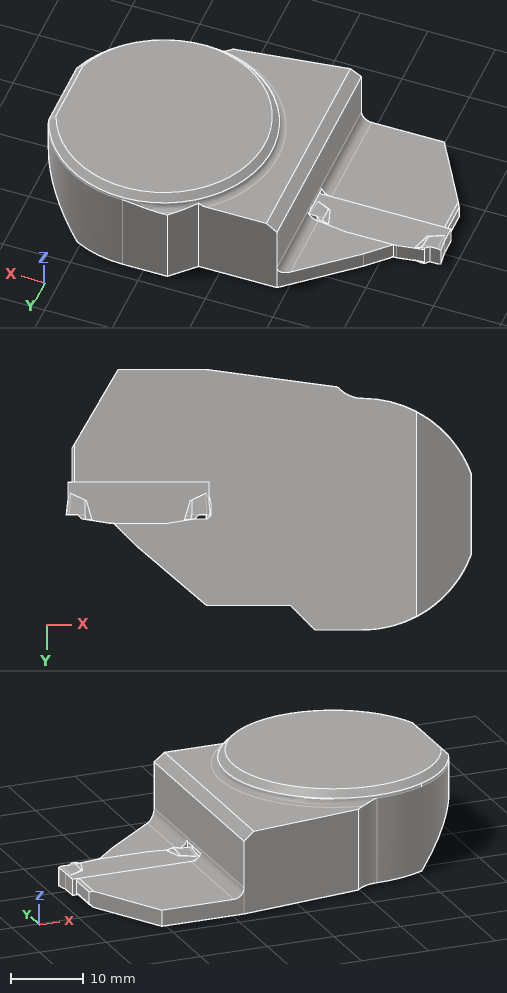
import cadquery as cq
import math


DISC_RADIUS = 16.0
BODY_RADIUS = 16.05
HEAD_TOP = 14.0
HEAD_FLAT_X = 15.05
HEAD_CHAMFER = 1.0
NECK_Z = 12.9

BLOCK_TOP = 12.0
WALL_X = -21.6
BLOCK_BACK_Y = 12.7
BLOCK_FRONT_Y = -20.0
EDGE_CHAMFER_X = 1.55
EDGE_CHAMFER_Z = 1.2
HEEL_CHAMFER = 7.6
SHOULDER_X = -6.6
BLOCK_CORNER = (-3.5, -17.6)

BLADE_THICKNESS = 2.4
BLADE_TIP_X = -40.3
BLADE_TIP_Y = -9.1
BLADE_FRONT_X = -33.9
BLADE_KINK = (-31.25, 4.5)
ROOT_FILLET = 1.5
BLADE_BEVEL_X = 0.4
BLADE_BEVEL_Z = 0.3

INSERT_TIP_X = HEAD_FLAT_X - 56.1
INSERT_MID_X = -31.1
INSERT_BASE_Y = -4.45
INSERT_TOP_Y = 1.3
FLANK_X = -40.85
FLANK_Y = -1.9
TIP_Y = 0.1
TIP_STEP_X = -39.45
STEP_Y = 0.7
STEP_X = TIP_STEP_X + STEP_Y - TIP_Y
CROWN_X = -34.95
PAD_RISE = 0.3
PAD_FOOT = (FLANK_X, -3.1)
PAD_HEEL = (-38.25, -1.85)
PAD_BACK = (-37.5, 0.8)
PAD_RIDGE_X = -38.5
LAND_WIDTH = 0.45
LAND_DROP = 0.1

POCKET_TOP = 3.4
POCKET_END_X = -21.0
POCKET_RELIEF = (-1.4, -2.65)


def mirror_x(x):
    """Place of x on the other end of the insert."""
    return 2 * INSERT_MID_X - x


def prism(points, bottom, top):
    return cq.Workplane("XY", origin=(0, 0, bottom)).polyline(points).close().extrude(top - bottom)


def block_prism(height):
    """Block and rounded end, seen along Z, raised to the given height."""
    shoulder_run = BODY_RADIUS - BLOCK_BACK_Y
    flat_y = math.sqrt(BODY_RADIUS**2 - HEAD_FLAT_X**2)
    arc_mid = BODY_RADIUS * math.sqrt(0.5)
    corner_x, corner_y = BLOCK_CORNER
    rise = -BODY_RADIUS - corner_y
    blend_radius = (corner_x**2 + rise**2) / (2 * rise)
    half_angle = math.asin(-corner_x / blend_radius) / 2
    blend_mid = (
        -blend_radius * math.sin(half_angle),
        -BODY_RADIUS - blend_radius * (1 - math.cos(half_angle)),
    )
    return (
        cq.Workplane("XY")
        .moveTo(WALL_X, BLOCK_FRONT_Y)
        .lineTo(corner_x, corner_y)
        .threePointArc(blend_mid, (0, -BODY_RADIUS))
        .threePointArc((arc_mid, -arc_mid), (HEAD_FLAT_X, -flat_y))
        .lineTo(HEAD_FLAT_X, flat_y)
        .threePointArc((arc_mid, arc_mid), (0, BODY_RADIUS))
        .lineTo(SHOULDER_X, BODY_RADIUS)
        .lineTo(SHOULDER_X - shoulder_run, BLOCK_BACK_Y)
        .lineTo(WALL_X, BLOCK_BACK_Y)
        .close()
        .extrude(height)
    )


def disc_head():
    """Chamfered disc with a concave fillet running out onto the block top."""
    fillet = NECK_Z - BLOCK_TOP
    arc_offset = fillet * (1 - math.sqrt(0.5))
    disc = (
        cq.Workplane("XZ")
        .lineTo(DISC_RADIUS + fillet, 0)
        .lineTo(DISC_RADIUS + fillet, BLOCK_TOP)
        .threePointArc((DISC_RADIUS + arc_offset, BLOCK_TOP + arc_offset), (DISC_RADIUS, NECK_Z))
        .lineTo(DISC_RADIUS, HEAD_TOP - HEAD_CHAMFER)
        .lineTo(DISC_RADIUS - HEAD_CHAMFER, HEAD_TOP)
        .lineTo(0, HEAD_TOP)
        .close()
        .revolve(360, (0, 0, 0), (0, 1, 0))
    )
    return disc.intersect(block_prism(HEAD_TOP))


def corner_wedge(x, z, run, rise):
    """Triangular bar along Y that bevels the XZ corner at (x, z)."""
    return (
        cq.Workplane("XZ")
        .polyline([(x, z), (x + run, z), (x, z + rise)])
        .close()
        .extrude(2 * BODY_RADIUS, both=True)
    )


def blade():
    """Thin blade with a filleted root and a bevelled front edge."""
    outline = [
        (WALL_X, BLOCK_FRONT_Y),
        (BLADE_FRONT_X, BLOCK_FRONT_Y),
        (BLADE_TIP_X, BLADE_TIP_Y),
        (BLADE_TIP_X, INSERT_BASE_Y),
        BLADE_KINK,
        (WALL_X, BLOCK_BACK_Y),
    ]
    arc_offset = ROOT_FILLET * (1 - math.sqrt(0.5))
    side_profile = (
        cq.Workplane("XZ", origin=(0, BODY_RADIUS, 0))
        .moveTo(BLADE_TIP_X, 0)
        .lineTo(WALL_X, 0)
        .lineTo(WALL_X, BLADE_THICKNESS + ROOT_FILLET)
        .threePointArc(
            (WALL_X - arc_offset, BLADE_THICKNESS + arc_offset),
            (WALL_X - ROOT_FILLET, BLADE_THICKNESS),
        )
        .lineTo(BLADE_TIP_X, BLADE_THICKNESS)
        .close()
        .extrude(BODY_RADIUS - BLOCK_FRONT_Y)
    )
    plate = side_profile.intersect(prism(outline, 0, BLADE_THICKNESS + ROOT_FILLET))
    plate = plate.cut(corner_wedge(BLADE_TIP_X, 0, BLADE_BEVEL_X, BLADE_BEVEL_Z))
    return plate.cut(corner_wedge(BLADE_TIP_X, BLADE_THICKNESS, BLADE_BEVEL_X, -BLADE_BEVEL_Z))


def insert_pocket():
    """Opening for the insert, with clearance around its inner tip."""
    relief_start, relief_end = POCKET_RELIEF
    seat_x = mirror_x(FLANK_X)
    corner = STEP_Y - TIP_Y
    outline = [
        (INSERT_TIP_X, INSERT_BASE_Y),
        (seat_x, INSERT_BASE_Y),
        (seat_x, relief_end),
        (POCKET_END_X, relief_start),
        (POCKET_END_X, TIP_Y),
        (POCKET_END_X - corner, STEP_Y),
        (mirror_x(STEP_X), STEP_Y),
        (mirror_x(CROWN_X), INSERT_TOP_Y),
        (CROWN_X, INSERT_TOP_Y),
        (STEP_X, STEP_Y),
        (INSERT_TIP_X, STEP_Y),
    ]
    return prism(outline, -PAD_RISE, POCKET_TOP)


def build_holder():
    block = block_prism(BLOCK_TOP)
    block = block.cut(corner_wedge(WALL_X, BLOCK_TOP, EDGE_CHAMFER_X, -EDGE_CHAMFER_Z))
    body = block.union(disc_head()).union(blade())
    body = body.cut(corner_wedge(HEAD_FLAT_X, HEAD_TOP, -HEAD_CHAMFER, -HEAD_CHAMFER))
    body = body.cut(corner_wedge(HEAD_FLAT_X, 0, -HEEL_CHAMFER, HEEL_CHAMFER))
    return body.cut(insert_pocket()).solids()


def trim_above(solid, a, b, c):
    """Remove what lies above the plane through three points."""
    a, b, c = cq.Vector(*a), cq.Vector(*b), cq.Vector(*c)
    normal = (b - a).cross(c - a)
    if normal.z < 0:
        normal = normal * -1
    reach = INSERT_MID_X - INSERT_TIP_X
    waste = cq.Workplane(cq.Plane(origin=a, normal=normal)).rect(2 * reach, 2 * reach).extrude(reach)
    return solid.cut(waste)


def cutting_pad():
    """Raised pad at the outer end of the top face, falling away toward -Y."""
    top = BLADE_THICKNESS + PAD_RISE
    foot_x, foot_y = PAD_FOOT
    heel_y = PAD_HEEL[1]
    fall = PAD_RISE / (TIP_Y - foot_y)
    heel_z = top - fall * (TIP_Y - heel_y)

    outline = [
        (INSERT_TIP_X, TIP_Y),
        (FLANK_X, FLANK_Y),
        PAD_FOOT,
        PAD_HEEL,
        PAD_BACK,
        (STEP_X, STEP_Y),
        (TIP_STEP_X, TIP_Y),
    ]
    pad = prism(outline, BLADE_THICKNESS / 2, top)
    pad = trim_above(
        pad,
        (INSERT_TIP_X, TIP_Y, top),
        (PAD_RIDGE_X, TIP_Y, top),
        (foot_x, foot_y, BLADE_THICKNESS),
    )
    pad = trim_above(
        pad,
        (PAD_RIDGE_X, TIP_Y, top),
        (PAD_RIDGE_X, heel_y, heel_z),
        (*PAD_BACK, BLADE_THICKNESS),
    )
    return trim_above(
        pad,
        (INSERT_TIP_X, TIP_Y, top - LAND_DROP),
        (INSERT_TIP_X + LAND_WIDTH, TIP_Y, top),
        (foot_x + LAND_WIDTH, foot_y, BLADE_THICKNESS),
    )


def build_insert():
    outer_end = [
        (FLANK_X, INSERT_BASE_Y),
        (FLANK_X, FLANK_Y),
        (INSERT_TIP_X, TIP_Y),
        (TIP_STEP_X, TIP_Y),
        (STEP_X, STEP_Y),
        (CROWN_X, INSERT_TOP_Y),
    ]
    inner_end = [(mirror_x(x), y) for x, y in reversed(outer_end)]
    insert = prism(outer_end + inner_end, 0, BLADE_THICKNESS)
    outer_top = cutting_pad()
    middle = (INSERT_MID_X, 0, BLADE_THICKNESS / 2)
    top_pads = outer_top.union(outer_top.mirror("YZ", middle))
    return insert.union(top_pads).union(top_pads.mirror("XY", middle)).solids()


holder = build_holder()
insert = build_insert()

result = cq.Compound.makeCompound([holder.val(), insert.val()])